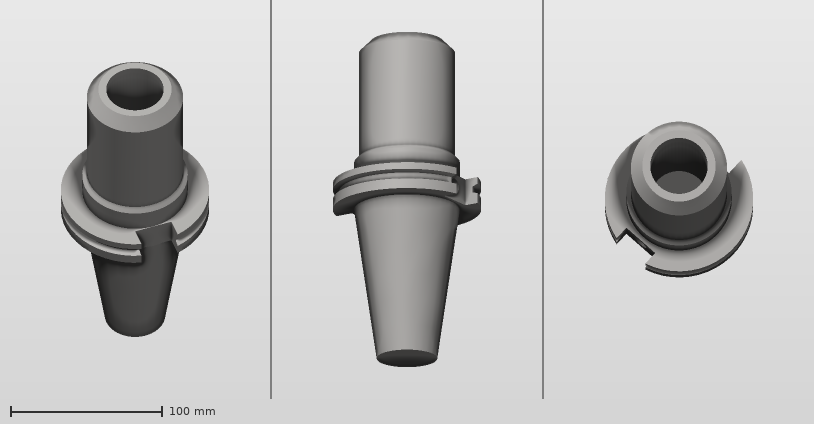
import cadquery as cq

total_length = 218.5
gauge_height = 101.8
gauge_radius = 35.0
taper_per_length = 7 / 24
tip_radius = gauge_radius - gauge_height * taper_per_length / 2

flange_radius = 49.1
flange_thickness = 18.0
flange_bottom = 102.9
flange_top = flange_bottom + flange_thickness
groove_drop = 7.9
groove_center = flange_top - groove_drop
groove_floor_width = 4.0
groove_mouth_width = 6.5
groove_floor_radius = 45.2

collar_radius = gauge_radius
collar_top = 138.5
nose_radius = 32.0
collar_chamfer = collar_radius - nose_radius
nose_chamfer = 7.6

bore_radius = 19.0
bore_bottom = flange_top

slot_width = 25.5
left_slot_distance = 37.8
right_slot_distance = 35.2

dimple_radius = 5.0
dimple_depth = 5.0


def make_body():
    """Revolve the shank, flange, collar and nose about Z."""
    outline = [
        (0, 0),
        (tip_radius, 0),
        (gauge_radius, gauge_height),
        (gauge_radius, flange_bottom),
        (flange_radius, flange_bottom),
        (flange_radius, groove_center - groove_mouth_width / 2),
        (groove_floor_radius, groove_center - groove_floor_width / 2),
        (groove_floor_radius, groove_center + groove_floor_width / 2),
        (flange_radius, groove_center + groove_mouth_width / 2),
        (flange_radius, flange_top),
        (collar_radius, flange_top),
        (collar_radius, collar_top - collar_chamfer),
        (nose_radius, collar_top),
        (nose_radius, total_length - nose_chamfer),
        (nose_radius - nose_chamfer, total_length),
        (0, total_length),
    ]
    return cq.Workplane("XZ").polyline(outline).close().revolve(360, (0, 0), (0, 1))


def make_slot(side, distance):
    """Block removed from the flange; side is -1 for -X and 1 for +X."""
    depth = flange_radius - distance
    center_x = side * (distance + depth / 2)
    center_z = flange_bottom + flange_thickness / 2
    return cq.Workplane("XY").box(depth, slot_width, flange_thickness).translate((center_x, 0, center_z))


def make_bore():
    """Blind cylindrical bore entering from the nose."""
    depth = total_length - bore_bottom
    return cq.Workplane("XY").workplane(offset=bore_bottom).circle(bore_radius).extrude(depth)


def make_dimple():
    """Round blind hole running along +X from the left slot floor."""
    plane = cq.Workplane("YZ", origin=(-left_slot_distance, 0, groove_center))
    return plane.circle(dimple_radius).extrude(dimple_depth)


result = (
    make_body()
    .cut(make_slot(-1, left_slot_distance))
    .cut(make_slot(1, right_slot_distance))
    .cut(make_bore())
    .cut(make_dimple())
)